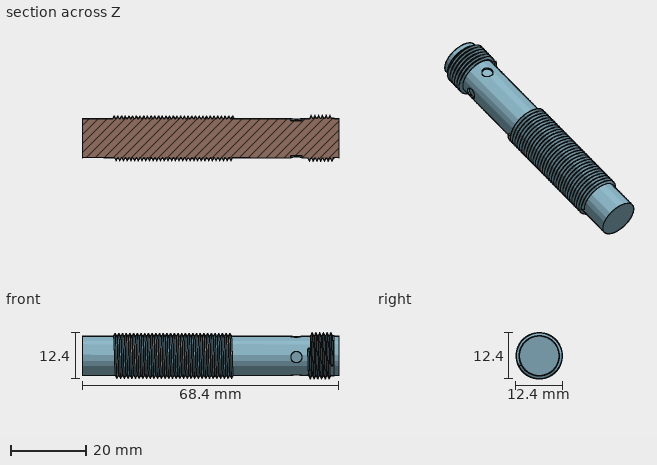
import cadquery as cq

LENGTH = 68.35
BODY_RADIUS = 5.25

ROOT_WIDTH = 0.86
ROOT_OVERLAP = 0.1

MAIN_CREST_RADIUS = 6.0
MAIN_PITCH = 0.986
MAIN_TURNS = 32
MAIN_START_X = 8.45
MAIN_START_ANGLE = 0

END_CREST_RADIUS = 6.18
END_PITCH = 1.0
END_TURNS = 6.13
END_START_X = 60.39
END_START_ANGLE = 160
COLLAR_RADIUS = 5.38
COLLAR_START_X = 60.8
COLLAR_END_X = 66.95

WINDOW_X = 57.0
WINDOW_DIAMETER = 3.0
WINDOW_DEPTH = 0.6
WINDOW_COUNT = 4
WINDOW_PATTERN_ANGLE = 4

ORIGIN = (0, 0, 0)
X_AXIS = (1, 0, 0)
SPACE_DIAGONAL = (1, 1, 1)
AXIS_SWAP_ANGLE = 120


def make_cylinder(radius, start_x, end_x):
    return cq.Workplane("YZ", origin=(start_x, 0, 0)).circle(radius).extrude(end_x - start_x)


def make_thread(crest_radius, pitch, turns, start_x, start_angle):
    """Helical V ridge whose flanks run slightly below the body surface."""
    inner_radius = BODY_RADIUS - ROOT_OVERLAP
    flank_slope = ROOT_WIDTH / 2 / (crest_radius - BODY_RADIUS)
    half_width = flank_slope * (crest_radius - inner_radius)
    path = cq.Wire.makeHelix(pitch, turns * pitch, inner_radius)
    ridge = (
        cq.Workplane("XZ")
        .polyline([(inner_radius, -half_width), (crest_radius, 0), (inner_radius, half_width)])
        .close()
        .sweep(cq.Workplane(obj=path), isFrenet=True)
    )
    along_x = ridge.rotate(ORIGIN, SPACE_DIAGONAL, AXIS_SWAP_ANGLE)
    return along_x.rotate(ORIGIN, X_AXIS, start_angle).translate((start_x, 0, 0))


def make_window(angle):
    """Cutter for one flat-bottomed window, turned about X from the +Z side."""
    window = (
        cq.Workplane("XY", origin=(WINDOW_X, 0, BODY_RADIUS - WINDOW_DEPTH))
        .circle(WINDOW_DIAMETER / 2)
        .extrude(2 * WINDOW_DEPTH)
    )
    return window.rotate(ORIGIN, X_AXIS, angle)


result = make_cylinder(BODY_RADIUS, 0, LENGTH)
for index in range(WINDOW_COUNT):
    window_angle = WINDOW_PATTERN_ANGLE + index * 360 / WINDOW_COUNT
    result = result.cut(make_window(window_angle))

result = result.union(
    make_thread(MAIN_CREST_RADIUS, MAIN_PITCH, MAIN_TURNS, MAIN_START_X, MAIN_START_ANGLE)
)
result = result.union(make_cylinder(COLLAR_RADIUS, COLLAR_START_X, COLLAR_END_X))
result = result.union(
    make_thread(END_CREST_RADIUS, END_PITCH, END_TURNS, END_START_X, END_START_ANGLE)
)
result = result.solids()